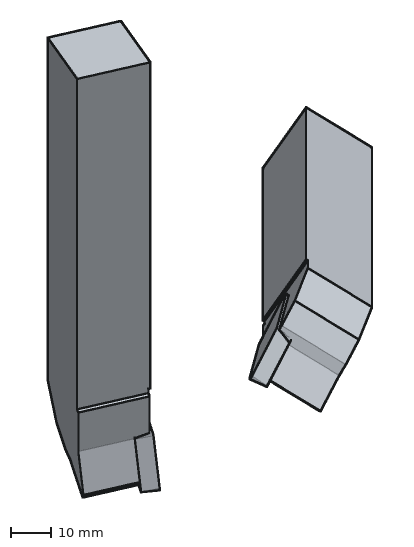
import cadquery as cq
import math


overall_length = 126.4
shank_width = 19.7
shank_thickness = 19.7
head_width = 20.5
head_thickness = 19.2
head_back_height = 27.7
shoulder_top = 26.4
shoulder_bottom = 25.9
flank_edge_top = 14.2

head_end_outer = (23.9, 3.2)
head_end_inner = (23.4, 2.0)
underside_start = (14.9, 8.2)
cheek_end = (11.9, 9.2)
cheek_bend = (6.0, 13.5)
cheek_top = 22.7

nose_reach = 25.4
rake_face_y = 20.0
insert_thickness = 4.8
insert_side = 16.5
nose_radius = 0.8
tip_angle = 35.0
clearance_angle = 7.0
bisector_tilt = 35.0


def make_insert():
    half_angle = math.radians(tip_angle / 2)
    half_long = insert_side * math.cos(half_angle) - nose_radius / math.sin(half_angle)
    half_short = half_long * math.tan(half_angle)
    arc_centers = [(0, -half_long), (half_short, 0), (0, half_long), (-half_short, 0)]

    insert = (
        cq.Workplane("XZ")
        .polyline(arc_centers)
        .close()
        .offset2D(nose_radius)
        .extrude(insert_thickness, taper=clearance_angle)
    )

    tilt = math.radians(bisector_tilt)
    center_x = nose_reach - nose_radius - half_long * math.sin(tilt)
    center_z = nose_radius + half_long * math.cos(tilt)
    return insert.rotate((0, 0, 0), (0, 1, 0), -bisector_tilt).translate((center_x, rake_face_y, center_z))


def make_holder(insert):
    outline = [
        (0, overall_length),
        (shank_width, overall_length),
        (shank_width, shoulder_top),
        (head_width, shoulder_bottom),
        (head_width, flank_edge_top),
        head_end_outer,
        head_end_inner,
        underside_start,
        cheek_end,
        cheek_bend,
        (0, cheek_top),
    ]
    body = cq.Workplane("XZ").polyline(outline).close().extrude(-shank_thickness)
    back_relief = cq.Workplane("XY").box(
        nose_reach, shank_thickness - head_thickness, head_back_height, centered=False
    ).translate((0, head_thickness, 0))
    return body.cut(back_relief).cut(insert).solids()


insert = make_insert()
holder = make_holder(insert)
result = cq.Compound.makeCompound([holder.val(), insert.val()])